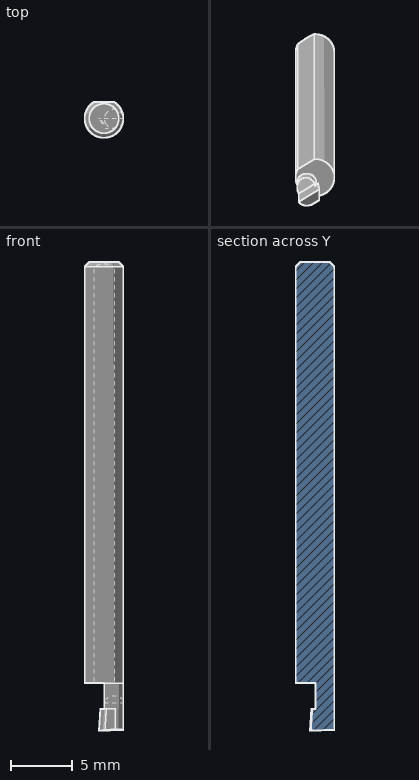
import cadquery as cq

total_length = 38.1
shank_diameter = 3.15
shank_radius = shank_diameter / 2
flat_y = 1.353
shank_bottom_z = 3.9
end_chamfer = 0.4

neck_diameter = 1.55
neck_radius = neck_diameter / 2
neck_x = shank_radius - neck_radius
rake_y = 0.0
runout_bottom_z = 2.3
runout_rise = 0.57

head_top_z = 1.8
point_x = -0.42
point_taper = 0.1
heel_x = 0.9
heel_y = -0.8
relief_points = [(-0.08, -0.55), (0.08, heel_y)]

end_rise_x = 0.08
end_rise_y = 0.08


def make_shank():
    """Chamfered round bar with its longitudinal flat."""
    length = total_length - shank_bottom_z
    bar = (
        cq.Workplane("XY", origin=(0, 0, shank_bottom_z))
        .circle(shank_radius)
        .extrude(length)
        .faces(">Z")
        .chamfer(end_chamfer)
    )
    flat_cut = cq.Workplane("XY").box(
        shank_diameter, shank_diameter, total_length, centered=(True, False, False)
    ).translate((0, flat_y, 0))
    return bar.cut(flat_cut)


def make_neck():
    """Round neck cut back to the rake face, with a sloping runout."""
    neck = cq.Workplane("XY").center(neck_x, 0).circle(neck_radius).extrude(shank_bottom_z)
    rake_cut = (
        cq.Workplane("YZ")
        .polyline([
            (rake_y, 0),
            (rake_y, runout_bottom_z),
            (rake_y + neck_radius, runout_bottom_z + runout_rise),
            (rake_y + neck_radius, 0),
        ])
        .close()
        .extrude(shank_diameter, both=True)
    )
    return neck.cut(rake_cut)


def head_outline(lean):
    """Head section, with the relief side moved toward +X by lean."""
    relief_side = [(point_x, rake_y)] + relief_points
    leaning_side = [(x + lean, y) for x, y in relief_side]
    return leaning_side + [(heel_x, heel_y), (heel_x, rake_y)]


def make_head():
    """Cutting head that tapers from the end face to its top."""
    return (
        cq.Workplane("XY")
        .polyline(head_outline(0))
        .close()
        .workplane(offset=head_top_z)
        .polyline(head_outline(point_taper))
        .close()
        .loft(ruled=True, combine=True)
    )


def make_end_relief():
    """Wedge below the end plane, which passes through the cutting point."""
    normal = cq.Vector(
        -end_rise_x / (shank_radius - point_x),
        end_rise_y / neck_radius,
        1,
    )
    plane = cq.Plane(origin=(point_x, rake_y, 0), normal=normal)
    return cq.Workplane(plane).circle(2 * shank_diameter).extrude(-shank_diameter)


tip = make_neck().union(make_head()).cut(make_end_relief())
result = make_shank().union(tip)